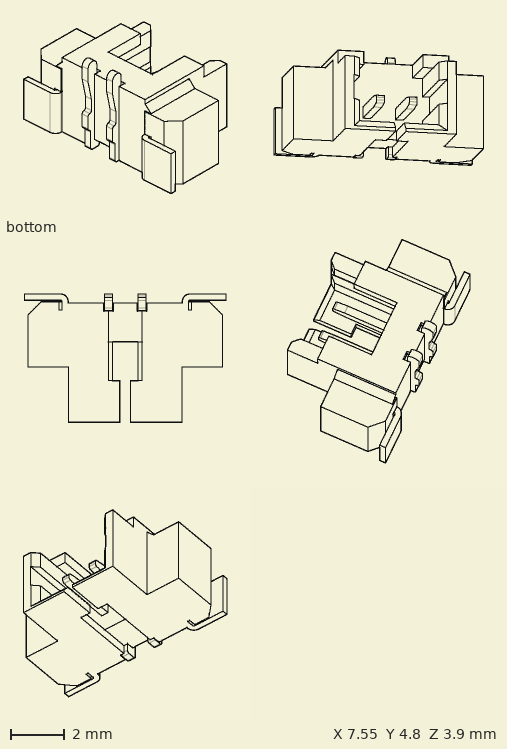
import cadquery as cq
import math

OVERALL_LENGTH = 7.55
OVERALL_DEPTH = 4.8
OVERALL_HEIGHT = 3.9

BODY_WIDTH = 4.26
BODY_FRONT = 0.34
BODY_HEIGHT = 3.3
MOUTH_HEIGHT = 2.8
STEP_Y = 3.555

FLOOR_THICKNESS = 0.39
CAVITY_FRONT = 1.8
CAVITY_WIDTH = 3.035
CAVITY_TOP_WIDTH = 2.265
MOUTH_CHAMFER = 0.265
GROOVE_BOTTOM = 1.18
GROOVE_TOP = 2.1
GROOVE_DEPTH = 0.27
FLOOR_SLOT_WIDTH = 0.39
FLOOR_OPENING_BACK = 3.25

EAR_SPAN = 7.28
EAR_FRONT = 0.295
EAR_BACK = 2.74
EAR_CHAMFER = 0.5
GUSSET_SIZE = 0.3

PIN_PITCH = 1.25
PIN_WIDTH = 0.3
PIN_CLEARANCE = 0.0205
PIN_HEAD_DEPTH = 0.475
PIN_STEM_BACK = 0.63
PIN_SHOULDER_HEIGHT = 3.095
PIN_BOTTOM_RADIUS = 0.1
PIN_HEAD_BOTTOM = 3.095
PIN_TAPER_BOTTOM = 2.25
UPPER_STEM_FRONT = 0.18
LOWER_STEM_FRONT = 0.14
BUMP_TOP = 1.75
BUMP_BOTTOM = 0.8
BUMP_BEND_HEIGHT = 0.205
ARM_TOP = 1.585
ARM_THICKNESS = 0.42
ARM_TAPER_START = 3.65
ARM_TAPER_DROP = 0.075
ARM_END = 4.145
ARM_TIP_RADIUS = 0.1

TAB_HEIGHT = 1.775
TAB_THICKNESS = 0.24
TAB_BEND_RADIUS = 0.295
TAB_INNER_RADIUS = TAB_BEND_RADIUS - TAB_THICKNESS
TAB_SLOT_CLEARANCE = 0.02
TAB_SLOT_WIDTH = 0.34
TAB_SLOT_DEPTH = 0.3

ARC_45 = math.sqrt(0.5)
BODY_SIDE = BODY_WIDTH / 2


def box(x_min, x_max, y_min, y_max, z_min, z_max):
    """Block between the given limits."""
    size = (x_max - x_min, y_max - y_min, z_max - z_min)
    return cq.Workplane("XY").box(*size, centered=False).translate((x_min, y_min, z_min))


def centred_box(width, y_min, y_max, z_min, z_max):
    """Block of the given width, centred on x = 0."""
    return box(-width / 2, width / 2, y_min, y_max, z_min, z_max)


def make_cavity():
    """Plug space, chamfered at the mouth, with a guide groove in each side wall."""
    cavity = centred_box(CAVITY_WIDTH, CAVITY_FRONT, OVERALL_DEPTH, FLOOR_THICKNESS, MOUTH_HEIGHT)
    top_opening = centred_box(CAVITY_TOP_WIDTH, CAVITY_FRONT, STEP_Y, FLOOR_THICKNESS, BODY_HEIGHT)
    grooves = centred_box(
        CAVITY_WIDTH + 2 * GROOVE_DEPTH, CAVITY_FRONT, OVERALL_DEPTH, GROOVE_BOTTOM, GROOVE_TOP
    )
    flare_height = MOUTH_HEIGHT - FLOOR_THICKNESS
    flare_centre = (0, FLOOR_THICKNESS + flare_height / 2)
    flare = (
        cq.Workplane("XZ", origin=(0, OVERALL_DEPTH - MOUTH_CHAMFER, 0))
        .center(*flare_centre)
        .rect(CAVITY_WIDTH, flare_height)
        .workplane(offset=-MOUTH_CHAMFER)
        .center(0, -MOUTH_CHAMFER / 2)
        .rect(CAVITY_WIDTH + 2 * MOUTH_CHAMFER, flare_height + MOUTH_CHAMFER)
        .loft(ruled=True)
    )
    return cavity.union(top_opening).union(grooves).union(flare)


def make_housing():
    """Stepped block with its cavity, floor openings and pin notches."""
    body = centred_box(BODY_WIDTH, BODY_FRONT, STEP_Y, 0, BODY_HEIGHT)
    body = body.union(centred_box(BODY_WIDTH, STEP_Y, OVERALL_DEPTH, 0, MOUTH_HEIGHT))
    body = body.cut(make_cavity())

    body = body.cut(centred_box(PIN_PITCH, BODY_FRONT, FLOOR_OPENING_BACK, 0, FLOOR_THICKNESS))
    body = body.cut(centred_box(FLOOR_SLOT_WIDTH, FLOOR_OPENING_BACK, OVERALL_DEPTH, 0, FLOOR_THICKNESS))

    notch_width = PIN_WIDTH + 2 * PIN_CLEARANCE
    notch_back = PIN_STEM_BACK + PIN_CLEARANCE
    notch = centred_box(notch_width, BODY_FRONT, notch_back, 0, BODY_HEIGHT)
    for side in (-1, 1):
        body = body.cut(notch.translate((side * PIN_PITCH / 2, 0, 0)))
    return body


def make_ear():
    """Mounting ear on the +X side, with the gusset on top and the slot for the solder tab."""
    ear = box(BODY_SIDE, EAR_SPAN / 2, EAR_FRONT, EAR_BACK, 0, MOUTH_HEIGHT)
    ear = ear.edges("|Z and >X and <Y").chamfer(EAR_CHAMFER)
    slot = box(
        BODY_SIDE, BODY_SIDE + TAB_SLOT_WIDTH,
        EAR_FRONT, EAR_FRONT + TAB_SLOT_DEPTH,
        0, TAB_HEIGHT + TAB_SLOT_CLEARANCE,
    )
    gusset = (
        cq.Workplane("XZ", origin=(0, BODY_FRONT, 0))
        .moveTo(BODY_SIDE, MOUTH_HEIGHT)
        .lineTo(BODY_SIDE + GUSSET_SIZE, MOUTH_HEIGHT)
        .lineTo(BODY_SIDE, MOUTH_HEIGHT + GUSSET_SIZE)
        .close()
        .extrude(BODY_FRONT - EAR_BACK)
    )
    return ear.cut(slot).union(gusset)


def make_tab():
    """Bent solder tab on the +X side: a leg in the ear slot and a blade pointing outwards."""
    leg_end = EAR_FRONT + TAB_SLOT_DEPTH
    bend_x = BODY_SIDE + TAB_BEND_RADIUS
    outer_mid = TAB_BEND_RADIUS * (1 - ARC_45)
    inner_mid = TAB_BEND_RADIUS - TAB_INNER_RADIUS * ARC_45
    return (
        cq.Workplane("XY")
        .moveTo(BODY_SIDE, leg_end)
        .lineTo(BODY_SIDE, TAB_BEND_RADIUS)
        .threePointArc((BODY_SIDE + outer_mid, outer_mid), (bend_x, 0))
        .lineTo(OVERALL_LENGTH / 2, 0)
        .lineTo(OVERALL_LENGTH / 2, TAB_THICKNESS)
        .lineTo(bend_x, TAB_THICKNESS)
        .threePointArc(
            (BODY_SIDE + inner_mid, inner_mid),
            (BODY_SIDE + TAB_THICKNESS, TAB_BEND_RADIUS),
        )
        .lineTo(BODY_SIDE + TAB_THICKNESS, leg_end)
        .close()
        .extrude(TAB_HEIGHT)
    )


def make_pin():
    """Pin centred on x = 0: bumped stem with a rounded head, and a contact arm into the cavity."""
    head_spring = OVERALL_HEIGHT - PIN_HEAD_DEPTH / 2
    lower_half_bend = (-LOWER_STEM_FRONT / 2, BUMP_BEND_HEIGHT / 2)
    upper_half_bend = (UPPER_STEM_FRONT / 2, BUMP_BEND_HEIGHT / 2)
    stem = (
        cq.Workplane("YZ")
        .moveTo(PIN_STEM_BACK - PIN_BOTTOM_RADIUS, 0)
        .lineTo(LOWER_STEM_FRONT + PIN_BOTTOM_RADIUS, 0)
        .tangentArcPoint((LOWER_STEM_FRONT, PIN_BOTTOM_RADIUS), relative=False)
        .lineTo(LOWER_STEM_FRONT, BUMP_BOTTOM)
        .tangentArcPoint(lower_half_bend)
        .tangentArcPoint(lower_half_bend)
        .lineTo(0, BUMP_TOP - BUMP_BEND_HEIGHT)
        .tangentArcPoint(upper_half_bend)
        .tangentArcPoint(upper_half_bend)
        .lineTo(UPPER_STEM_FRONT, PIN_TAPER_BOTTOM)
        .lineTo(0, PIN_HEAD_BOTTOM)
        .lineTo(0, head_spring)
        .tangentArcPoint((PIN_HEAD_DEPTH, head_spring), relative=False)
        .lineTo(PIN_HEAD_DEPTH, PIN_SHOULDER_HEIGHT)
        .lineTo(PIN_STEM_BACK, PIN_SHOULDER_HEIGHT)
        .lineTo(PIN_STEM_BACK, PIN_BOTTOM_RADIUS)
        .tangentArcPoint((PIN_STEM_BACK - PIN_BOTTOM_RADIUS, 0), relative=False)
        .close()
        .extrude(PIN_WIDTH / 2, both=True)
    )
    arm_bottom = ARM_TOP - ARM_THICKNESS
    arm = (
        cq.Workplane("YZ")
        .moveTo(PIN_STEM_BACK, arm_bottom)
        .lineTo(ARM_TAPER_START, arm_bottom)
        .lineTo(ARM_END, arm_bottom + ARM_TAPER_DROP)
        .lineTo(ARM_END, ARM_TOP - ARM_TAPER_DROP)
        .lineTo(ARM_TAPER_START, ARM_TOP)
        .lineTo(PIN_STEM_BACK, ARM_TOP)
        .close()
        .extrude(PIN_WIDTH / 2, both=True)
        .edges(">Y and |X")
        .fillet(ARM_TIP_RADIUS)
    )
    return stem.union(arm)


connector = make_housing()

ear_with_tab = make_ear().union(make_tab())
connector = connector.union(ear_with_tab).union(ear_with_tab.mirror("YZ"))

pin = make_pin()
for side in (-1, 1):
    connector = connector.union(pin.translate((side * PIN_PITCH / 2, 0, 0)))

result = connector